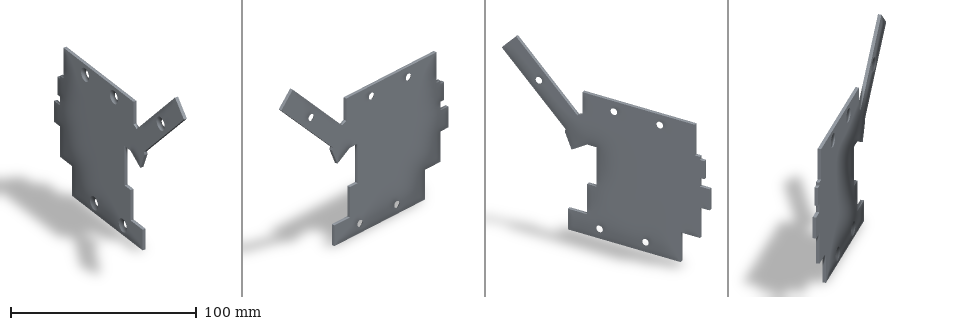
import cadquery as cq

thickness = 2.0
overall_length = 129.8
overall_height = 110.3

plate_left = 9.2
plate_right = 79.3
plate_top = 87.7
plate_side_bottom = 73.8

side_left = 6.0
shoulder_z = 68.8
upper_tab_left = 3.2
upper_tab_top = 66.8
upper_tab_bottom = 55.7
lower_tab_top = 50.4
lower_tab_bottom = 37.2
side_bottom = 18.4

foot_left = 18.0
foot_right = 88.5
foot_top = 12.8
notch_left = 70.5
notch_right = 76.5
notch_bottom = 31.7
notch_top = 56.1

arm_root_upper = (82.5, 72.4)
arm_tip_upper = (120.8, overall_height)
arm_tip_lower = (overall_length, 101.0)
arm_root_lower = (90.0, 61.8)
lug_shoulder = (90.3, 60.0)
lug_tip = (86.2, 50.1)

hole_diameter = 4.0
countersink_diameter = 2 * hole_diameter
hole_spacing = 28.7
upper_hole_x = 31.0
upper_hole_z = 81.2
lower_hole_x = 40.0
lower_hole_z = 6.0
arm_hole = (106.5, 87.2)

hole_centers = [
    (upper_hole_x, upper_hole_z),
    (upper_hole_x + hole_spacing, upper_hole_z),
    (lower_hole_x, lower_hole_z),
    (lower_hole_x + hole_spacing, lower_hole_z),
    arm_hole,
]

outline = [
    (plate_left, plate_top),
    (plate_right, plate_top),
    (plate_right, plate_side_bottom),
    arm_root_upper,
    arm_tip_upper,
    arm_tip_lower,
    arm_root_lower,
    lug_shoulder,
    lug_tip,
    (notch_right, notch_top),
    (notch_left, notch_top),
    (notch_left, notch_bottom),
    (notch_right, notch_bottom),
    (notch_right, foot_top),
    (foot_right, foot_top),
    (foot_right, 0),
    (foot_left, 0),
    (foot_left, side_bottom),
    (side_left, side_bottom),
    (side_left, lower_tab_bottom),
    (0, lower_tab_bottom),
    (0, lower_tab_top),
    (side_left, lower_tab_top),
    (side_left, upper_tab_bottom),
    (upper_tab_left, upper_tab_bottom),
    (upper_tab_left, upper_tab_top),
    (side_left, upper_tab_top),
    (side_left, shoulder_z),
    (plate_left, shoulder_z),
]

plate = cq.Workplane("XZ").polyline(outline).close().extrude(-thickness)


def countersink(x, z):
    """Cone narrowing from the front face to the back face."""
    return cq.Solid.makeCone(
        countersink_diameter / 2,
        hole_diameter / 2,
        thickness,
        pnt=cq.Vector(x, 0, z),
        dir=cq.Vector(0, 1, 0),
    )


for hole_x, hole_z in hole_centers:
    plate = plate.cut(cq.Workplane(countersink(hole_x, hole_z)))

result = plate